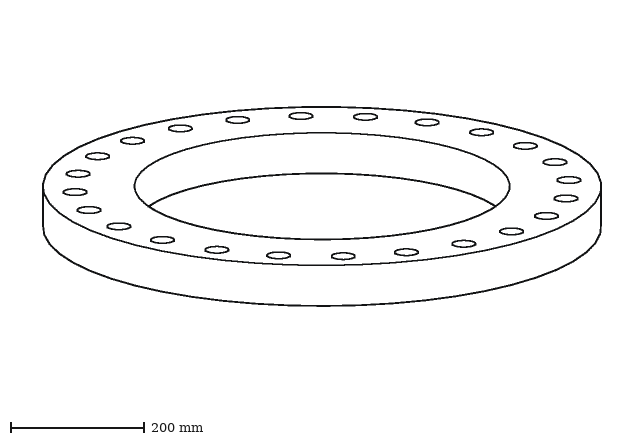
import cadquery as cq

outer_diameter = 838.0
bore_diameter = 563.0
thickness = 64.0

bolt_circle_diameter = 743.0
bolt_hole_diameter = 35.0
bolt_hole_count = 24


def make_ring():
    """Plain ring with its bottom face on Z = 0."""
    return (
        cq.Workplane("XY")
        .circle(outer_diameter / 2)
        .circle(bore_diameter / 2)
        .extrude(thickness)
    )


def make_bolt_holes():
    """Cylinders that cut the bolt holes through the full thickness."""
    return (
        cq.Workplane("XY")
        .polarArray(bolt_circle_diameter / 2, 0, 360, bolt_hole_count)
        .circle(bolt_hole_diameter / 2)
        .extrude(thickness)
    )


result = make_ring().cut(make_bolt_holes())